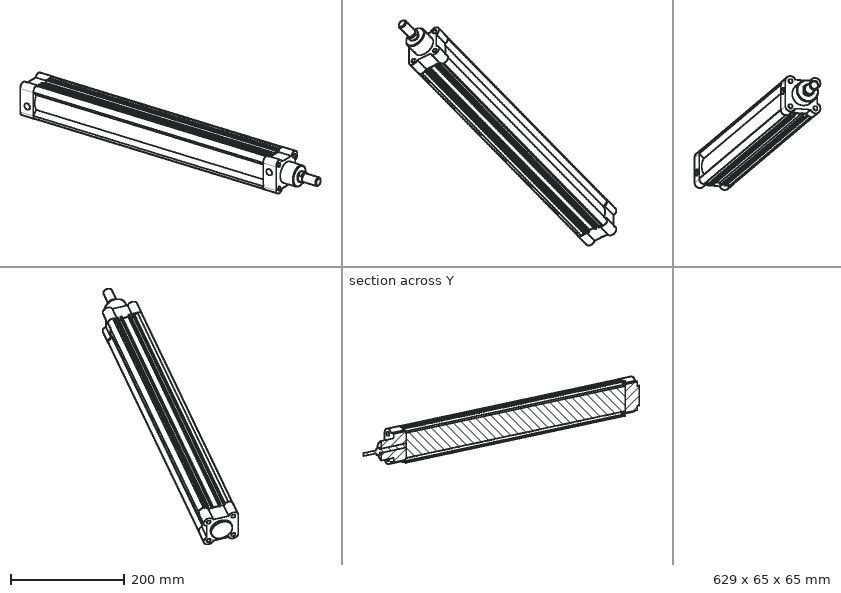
import cadquery as cq
import math


REAR_BOSS_LENGTH = 4.5
CAP_LENGTH = 28.0
BARREL_LENGTH = 499.0
FRONT_BOSS_LENGTH = 28.0
TOTAL_LENGTH = 629.0
THREAD_LENGTH = 29.5
REAR_CAP_X = REAR_BOSS_LENGTH
BARREL_X = REAR_CAP_X + CAP_LENGTH
FRONT_CAP_X = BARREL_X + BARREL_LENGTH
FRONT_BOSS_X = FRONT_CAP_X + CAP_LENGTH
THREAD_X = TOTAL_LENGTH - THREAD_LENGTH

CAP_SIZE = 65.0
SCREW_PITCH = 46.0
CAP_HALF = CAP_SIZE / 2
SCREW_OFFSET = SCREW_PITCH / 2
LOBE_RADIUS = CAP_HALF - SCREW_OFFSET
CAP_FLOOR = 26.5
BOSS_DIAMETER = 39.5
BOSS_CHAMFER = 1.0
SCREW_HOLE_DIAMETER = 7.5
SCREW_HOLE_DEPTH = 16.0
PORT_DIAMETER = 12.0
PORT_DEPTH = 12.5
PORT_OFFSET = 8.0
PORT_TO_BARREL = 13.0

BARREL_SIZE = 64.0
BARREL_HALF = BARREL_SIZE / 2
CORNER_RADIUS = BARREL_HALF - SCREW_OFFSET
BARREL_RADIUS = 27.5

SLOT_BLOCK_ROOT_INNER = 5.5
SLOT_BLOCK_TOP_INNER = 6.0
SLOT_CAVITY_INNER = 7.0
SLOT_OPENING_INNER = 9.0
SLOT_OPENING_OUTER = 14.0
SLOT_CAVITY_OUTER = 16.0
SLOT_BLOCK_TOP_OUTER = 16.5
SLOT_BLOCK_ROOT_OUTER = 18.0
SLOT_BLOCK_ROOT_HEIGHT = 26.5
SLOT_FLOOR = 23.0
LIP_THICKNESS = 0.95

ROD_DIAMETER = 16.5
ROD_TIP_CHAMFER = 1.6
COLLAR_DIAMETER = 20.0
COLLAR_FLATS = 17.0
COLLAR_GAP = 2.0
COLLAR_X = FRONT_BOSS_X + FRONT_BOSS_LENGTH + COLLAR_GAP


def box_between(x_range, y_range, z_range):
    """Box spanning the given (low, high) ranges."""
    lows, highs = zip(x_range, y_range, z_range)
    sizes = [high - low for low, high in zip(lows, highs)]
    return cq.Workplane("XY").box(*sizes, centered=False).translate(lows)


def cylinder_x(x, length, diameter):
    """Cylinder on the part's axis, starting at x."""
    return cq.Workplane("YZ", origin=(x, 0, 0)).circle(diameter / 2).extrude(length)


def corner_points(plane):
    """The plane with the four screw centres selected."""
    return plane.rect(SCREW_PITCH, SCREW_PITCH, forConstruction=True).vertices()


def make_cap_block(x, port_x, port_z):
    """Cap with a flat port side at -Y and recesses between round corner lobes on the other sides."""
    x_range = (x, x + CAP_LENGTH)
    plane = cq.Workplane("YZ", origin=(x, 0, 0))
    core = box_between(x_range, (-SCREW_OFFSET, CAP_FLOOR), (-CAP_FLOOR, CAP_FLOOR))
    port_side = box_between(x_range, (-CAP_HALF, 0), (-SCREW_OFFSET, SCREW_OFFSET))
    lobes = corner_points(plane).circle(LOBE_RADIUS).extrude(CAP_LENGTH)
    port = (
        cq.Workplane("XZ", origin=(port_x, -CAP_HALF, port_z))
        .circle(PORT_DIAMETER / 2)
        .extrude(-PORT_DEPTH)
    )
    return core.union(port_side).union(lobes).cut(port)


def screw_holes(x, depth):
    """Four blind screw holes from the face at x; a negative depth runs toward -X."""
    return corner_points(cq.Workplane("YZ", origin=(x, 0, 0))).circle(SCREW_HOLE_DIAMETER / 2).extrude(depth)


def make_rear_cap():
    boss = cylinder_x(0, REAR_BOSS_LENGTH, BOSS_DIAMETER)
    block = make_cap_block(REAR_CAP_X, BARREL_X - PORT_TO_BARREL, -PORT_OFFSET)
    return block.union(boss).cut(screw_holes(REAR_CAP_X, SCREW_HOLE_DEPTH))


def make_front_cap():
    """Front cap with its guide boss, bored through for the rod."""
    boss = cylinder_x(FRONT_BOSS_X, FRONT_BOSS_LENGTH, BOSS_DIAMETER).faces(">X").chamfer(BOSS_CHAMFER)
    block = make_cap_block(FRONT_CAP_X, FRONT_CAP_X + PORT_TO_BARREL, PORT_OFFSET)
    bore = cylinder_x(FRONT_CAP_X, CAP_LENGTH + FRONT_BOSS_LENGTH, ROD_DIAMETER)
    return block.union(boss).cut(bore).cut(screw_holes(FRONT_BOSS_X, -SCREW_HOLE_DEPTH))


def make_corner_rail(y_sign, z_sign):
    """Rounded corner whose two sides slope inward at 45 degrees to the barrel wall."""
    arc_middle = SCREW_OFFSET + CORNER_RADIUS * math.sqrt(0.5)

    def at(y, z):
        return (y_sign * y, z_sign * z)

    return (
        cq.Workplane("YZ", origin=(BARREL_X, 0, 0))
        .moveTo(*at(BARREL_HALF, SCREW_OFFSET))
        .threePointArc(at(arc_middle, arc_middle), at(SCREW_OFFSET, BARREL_HALF))
        .lineTo(*at(0, CORNER_RADIUS))
        .lineTo(*at(CORNER_RADIUS, 0))
        .close()
        .extrude(BARREL_LENGTH)
    )


def barrel_strip(y_sign, z_sign, y_walls, z_walls):
    """Full-length box between two distances from the middle planes, in one quadrant."""
    y_range = sorted(y_sign * wall for wall in y_walls)
    z_range = sorted(z_sign * wall for wall in z_walls)
    return box_between((BARREL_X, FRONT_CAP_X), y_range, z_range)


def make_slot_block(y_sign, z_sign):
    """Raised block with slightly slanted sides that carries one T-slot."""
    outline = [
        (SLOT_BLOCK_ROOT_INNER, 0),
        (SLOT_BLOCK_ROOT_INNER, SLOT_BLOCK_ROOT_HEIGHT),
        (SLOT_BLOCK_TOP_INNER, BARREL_HALF),
        (SLOT_BLOCK_TOP_OUTER, BARREL_HALF),
        (SLOT_BLOCK_ROOT_OUTER, SLOT_BLOCK_ROOT_HEIGHT),
        (SLOT_BLOCK_ROOT_OUTER, 0),
    ]
    points = [(y_sign * y, z_sign * z) for y, z in outline]
    return cq.Workplane("YZ", origin=(BARREL_X, 0, 0)).polyline(points).close().extrude(BARREL_LENGTH)


def make_slot(y_sign, z_sign):
    """T-slot: a narrow opening over a wider flat-bottomed cavity."""
    cavity_walls = (SLOT_CAVITY_INNER, SLOT_CAVITY_OUTER)
    opening_walls = (SLOT_OPENING_INNER, SLOT_OPENING_OUTER)
    cavity = barrel_strip(y_sign, z_sign, cavity_walls, (SLOT_FLOOR, BARREL_HALF - LIP_THICKNESS))
    opening = barrel_strip(y_sign, z_sign, opening_walls, (SLOT_FLOOR, BARREL_HALF))
    return cavity.union(opening)


def make_barrel():
    quadrants = [(y_sign, z_sign) for y_sign in (-1, 1) for z_sign in (-1, 1)]
    barrel = cylinder_x(BARREL_X, BARREL_LENGTH, 2 * BARREL_RADIUS)
    for quadrant in quadrants:
        barrel = barrel.union(make_corner_rail(*quadrant)).union(make_slot_block(*quadrant))
    for quadrant in quadrants:
        barrel = barrel.cut(make_slot(*quadrant))
    return barrel


def make_collar():
    """Wrench collar just ahead of the boss, with two flats facing -Y and +Y and a chamfered front rim."""
    length = THREAD_X - COLLAR_X
    rim_chamfer = (COLLAR_DIAMETER - ROD_DIAMETER) / 2
    collar = cylinder_x(COLLAR_X, length, COLLAR_DIAMETER).faces(">X").chamfer(rim_chamfer)
    flats = box_between(
        (COLLAR_X, THREAD_X),
        (-COLLAR_FLATS / 2, COLLAR_FLATS / 2),
        (-COLLAR_DIAMETER / 2, COLLAR_DIAMETER / 2),
    )
    return collar.intersect(flats)


def make_rod():
    """Rod seated against the barrel, with a wrench collar and a chamfered tip."""
    bar = cylinder_x(FRONT_CAP_X, TOTAL_LENGTH - FRONT_CAP_X, ROD_DIAMETER)
    return bar.faces(">X").chamfer(ROD_TIP_CHAMFER).union(make_collar())


rear_cap = make_rear_cap()
barrel = make_barrel()
front_cap = make_front_cap()
rod = make_rod()

result = cq.Compound.makeCompound([rear_cap.val(), barrel.val(), front_cap.val(), rod.val()])